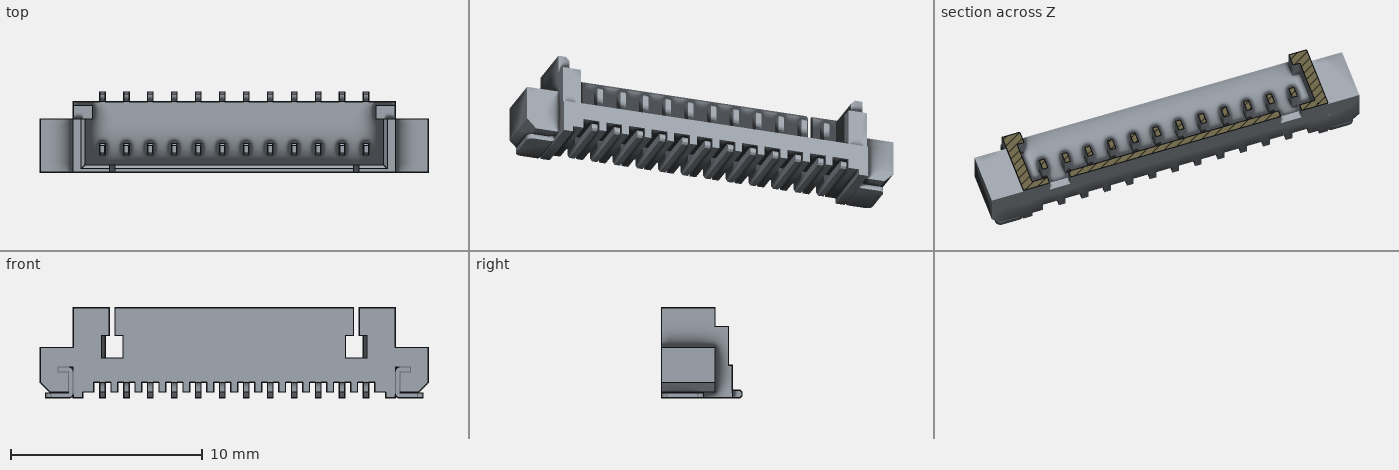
import cadquery as cq


body_length = 16.8
body_depth = 3.7
body_height = 4.7
floor_height = 1.7
underside_height = 0.3
front_wall = 0.4
side_wall = 0.62
side_wall_depth = 2.8
rim_chamfer_run = 0.2
rim_chamfer_drop = 0.2
post_width = 1.0
post_back = 3.5
post_height = 3.73
foot_width = 0.5

window_offset = 6.37
window_width = 1.13
window_bottom = 2.08
window_top = 3.24
slit_width = 0.28

part_length = 20.25
ear_depth = side_wall_depth
ear_top = 2.63
ear_chamfer = 0.5

nail_thickness = 0.25
nail_depth = 2.2
nail_top = 1.6
nail_arm_length = 0.8
nail_plate_length = 1.45
nail_bend_radius = 0.2
nail_corner_radius = 0.3

pin_count = 12
pin_pitch = 1.25
pin_width = 0.3
pin_front = 0.92
pin_thickness = 0.6
pin_top = 3.85
pin_tip_chamfer = 0.1
pin_tip_side_taper = 0.03
pin_tip_drop = 0.1
pin_leg_front = 0.3
pin_leg_top = 1.2
pin_bend_chamfer = 0.3
tail_end = 4.2
tail_thickness = 0.4
tail_chamfer = 0.1
channel_width = 0.88
channel_top = 0.8

half_body = body_length / 2
half_part = part_length / 2
cavity_half = half_body - side_wall
pin_positions = [(i - (pin_count - 1) / 2) * pin_pitch for i in range(pin_count)]


def box(x0, x1, y0, y1, z0, z1):
    """Axis-aligned block between two opposite corners."""
    return cq.Workplane("XY").box(x1 - x0, y1 - y0, z1 - z0, centered=False).translate((x0, y0, z0))


def both_ends(shape):
    """The shape together with its mirror image across the middle of the row."""
    return shape.union(shape.mirror("YZ"))


def extrude_back(outline, depth):
    """Extrude a closed XZ outline from the front face toward +Y."""
    return outline.close().extrude(-depth)


def make_rim_chamfer():
    """Cutter that bevels the inner edge of the front and side walls."""
    top_half = cavity_half + rim_chamfer_run
    cutter_depth = body_depth - front_wall
    bottom = (
        cq.Workplane("XY", origin=(0, front_wall, body_height - rim_chamfer_drop))
        .moveTo(-cavity_half, 0)
        .lineTo(cavity_half, 0)
        .lineTo(cavity_half, cutter_depth)
        .lineTo(-cavity_half, cutter_depth)
        .close()
    )
    return (
        bottom.workplane(offset=rim_chamfer_drop)
        .moveTo(-top_half, -rim_chamfer_run)
        .lineTo(top_half, -rim_chamfer_run)
        .lineTo(top_half, cutter_depth)
        .lineTo(-top_half, cutter_depth)
        .close()
        .loft(ruled=True)
    )


def make_shroud():
    """Floor, front and side walls, rear corner posts and feet; open at the top and back."""
    base = box(-half_body, half_body, 0, body_depth, underside_height, floor_height)
    walls = box(-half_body, half_body, 0, side_wall_depth, floor_height, body_height)
    cavity = box(-cavity_half, cavity_half, front_wall, side_wall_depth, floor_height, body_height)
    walls = walls.cut(cavity).cut(make_rim_chamfer())
    post = box(-half_body, post_width - half_body, side_wall_depth, post_back, floor_height, post_height)
    foot = box(-half_body, foot_width - half_body, 0, body_depth, 0, underside_height)
    return base.union(walls).union(both_ends(post)).union(both_ends(foot))


def make_window():
    """Rectangular opening in the front wall with a slit up to the rim."""
    opening = box(
        -window_offset - window_width / 2, -window_offset + window_width / 2,
        0, front_wall, window_bottom, window_top,
    )
    slit = box(
        -window_offset - slit_width / 2, -window_offset + slit_width / 2,
        0, front_wall, window_top, body_height,
    )
    return opening.union(slit)


def make_channel(x):
    """Clearance under the floor around one pin."""
    half = channel_width / 2
    return box(x - half, x + half, 0, body_depth, underside_height, channel_top)


def make_ear():
    """Block at the left end with its lower outer edge bevelled."""
    outline = (
        cq.Workplane("XZ")
        .moveTo(-half_body, ear_top)
        .lineTo(-half_part, ear_top)
        .lineTo(-half_part, underside_height + ear_chamfer)
        .lineTo(-half_part + ear_chamfer, underside_height)
        .lineTo(-half_body, underside_height)
    )
    return extrude_back(outline, ear_depth)


def make_nail_slot():
    """Square-cornered slot in the ear that takes the upright and upper arm of the nail."""
    arm = box(
        -half_body - nail_arm_length, -half_body, 0, nail_depth, nail_top - nail_thickness, nail_top
    )
    upright = box(-half_body - nail_thickness, -half_body, 0, nail_depth, 0, nail_top)
    return arm.union(upright)


def make_nail():
    """C-shaped strip: upper arm, upright against the shroud and solder plate on the board."""
    inner_x = -half_body - nail_thickness
    arm_x = -half_body - nail_arm_length
    plate_x = -half_body - nail_plate_length
    outline = (
        cq.Workplane("XZ")
        .moveTo(arm_x, nail_top)
        .lineTo(-half_body - nail_bend_radius, nail_top)
        .radiusArc((-half_body, nail_top - nail_bend_radius), nail_bend_radius)
        .lineTo(-half_body, nail_bend_radius)
        .radiusArc((-half_body - nail_bend_radius, 0), nail_bend_radius)
        .lineTo(plate_x, 0)
        .lineTo(plate_x, nail_thickness)
        .lineTo(inner_x, nail_thickness)
        .lineTo(inner_x, nail_top - nail_thickness)
        .lineTo(arm_x, nail_top - nail_thickness)
    )
    return extrude_back(outline, nail_depth).edges("|Z and <X").fillet(nail_corner_radius)


def make_pin(x):
    """Upright contact with a tapered tip, bent back into a solder tail."""
    shoulder = pin_top - pin_tip_drop
    pin_back = pin_front + pin_thickness
    leg = (
        cq.Workplane("YZ", origin=(x - pin_width / 2, 0, 0))
        .moveTo(pin_front, shoulder)
        .lineTo(pin_front, pin_leg_top)
        .lineTo(pin_leg_front, pin_leg_top)
        .lineTo(pin_leg_front, pin_bend_chamfer)
        .lineTo(pin_leg_front + pin_bend_chamfer, 0)
        .lineTo(tail_end - tail_chamfer, 0)
        .lineTo(tail_end, tail_chamfer)
        .lineTo(tail_end, tail_thickness - tail_chamfer)
        .lineTo(tail_end - tail_chamfer, tail_thickness)
        .lineTo(pin_back, tail_thickness)
        .lineTo(pin_back, shoulder)
        .close()
        .extrude(pin_width)
    )
    tip = (
        cq.Workplane("XY", origin=(x, pin_front + pin_thickness / 2, shoulder))
        .rect(pin_width, pin_thickness)
        .workplane(offset=pin_tip_drop)
        .rect(pin_width - 2 * pin_tip_side_taper, pin_thickness - 2 * pin_tip_chamfer)
        .loft(ruled=True)
    )
    return leg.union(tip)


housing = make_shroud().cut(both_ends(make_window())).union(both_ends(make_ear()))
for pin_x in pin_positions:
    housing = housing.cut(make_channel(pin_x))
for pin_x in pin_positions:
    housing = housing.union(make_pin(pin_x))
housing = housing.cut(both_ends(make_nail_slot()))

nail = make_nail()
result = housing.union(nail, clean=False).union(nail.mirror("YZ"), clean=False)